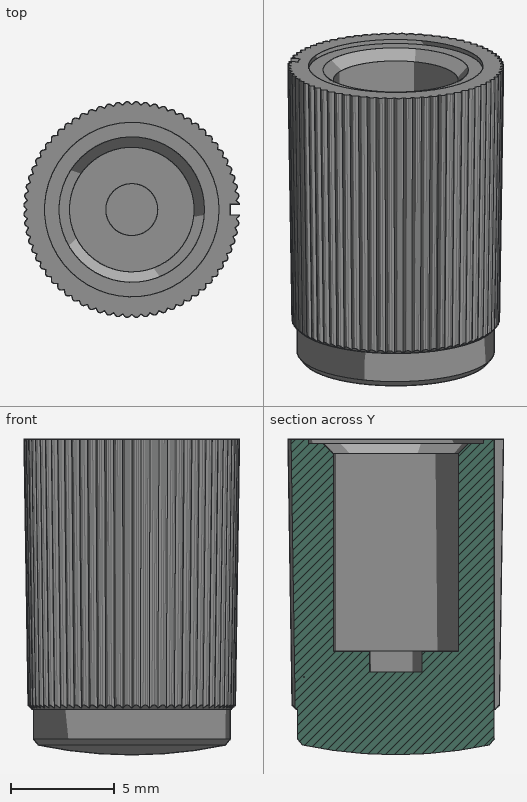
import cadquery as cq
import math

total_height = 15.2

grip_top_radius = 5.2
grip_bottom_radius = 5.0
grip_bottom_z = 2.2
grip_chamfer = 0.2
tooth_count = 72
tooth_depth = 0.15
crest_half_width = 0.1
crest_drop = 0.035

slot_width = 0.5
slot_floor_x = 4.75

neck_radius = 4.75
neck_chamfer_width = 0.25
neck_chamfer_height = 0.3
dome_radius = neck_radius - neck_chamfer_width
dome_height = 0.47

recess_diameter = 8.4
recess_depth = 0.2
bore_diameter = 6.0
bore_chamfer = 0.5
bore_depth = 10.0
pilot_diameter = 2.5
pilot_depth = 1.0


def polar(radius, angle):
    return (radius * math.cos(angle), radius * math.sin(angle))


def knurled_outline(workplane, radius):
    """Draw a ring of round-crested teeth with V grooves between them."""
    pitch = 2 * math.pi / tooth_count
    crest_curve_radius = (crest_half_width**2 + crest_drop**2) / (2 * crest_drop)
    mid_half_width = crest_half_width / 2
    mid_drop = crest_curve_radius - math.sqrt(crest_curve_radius**2 - mid_half_width**2)
    shoulder_angle = crest_half_width / radius
    mid_angle = mid_half_width / radius

    outline = workplane.moveTo(*polar(radius - tooth_depth, 0))
    for index in range(tooth_count):
        crest_angle = (index + 0.5) * pitch
        crest = polar(radius, crest_angle)
        first_shoulder = polar(radius - crest_drop, crest_angle - shoulder_angle)
        first_mid = polar(radius - mid_drop, crest_angle - mid_angle)
        second_mid = polar(radius - mid_drop, crest_angle + mid_angle)
        second_shoulder = polar(radius - crest_drop, crest_angle + shoulder_angle)
        outline = outline.lineTo(*first_shoulder)
        outline = outline.threePointArc(first_mid, crest)
        outline = outline.threePointArc(second_mid, second_shoulder)
        if index < tooth_count - 1:
            outline = outline.lineTo(*polar(radius - tooth_depth, crest_angle + pitch / 2))
    return outline.close()


def make_grip():
    """Tapered knurled sleeve with its lower edge chamfered."""
    grip_height = total_height - grip_bottom_z
    base = knurled_outline(cq.Workplane("XY").workplane(offset=grip_bottom_z), grip_bottom_radius)
    grip = knurled_outline(base.workplane(offset=grip_height), grip_top_radius).loft(ruled=True)

    envelope_radius = grip_top_radius + grip_chamfer
    chamfer_radius = grip_bottom_radius - grip_chamfer
    envelope = (
        cq.Workplane("XZ")
        .moveTo(0, grip_bottom_z)
        .lineTo(chamfer_radius, grip_bottom_z)
        .lineTo(envelope_radius, grip_bottom_z + envelope_radius - chamfer_radius)
        .lineTo(envelope_radius, total_height)
        .lineTo(0, total_height)
        .close()
        .revolve(360, (0, 0, 0), (0, 1, 0))
    )
    return grip.intersect(envelope)


def make_slot():
    """Cutter for the index slot, open at both ends of the grip."""
    slot_length = grip_top_radius - slot_floor_x
    slot_height = total_height - grip_bottom_z
    return cq.Workplane("XY").box(
        slot_length, slot_width, slot_height, centered=(False, True, False)
    ).translate((slot_floor_x, 0, grip_bottom_z))


def make_neck():
    """Plain neck with a chamfered edge and a shallow spherical end."""
    sphere_radius = (dome_radius**2 + dome_height**2) / (2 * dome_height)
    middle_radius = dome_radius / 2
    middle_z = sphere_radius - math.sqrt(sphere_radius**2 - middle_radius**2)
    neck_top_z = grip_bottom_z + grip_chamfer
    return (
        cq.Workplane("XZ")
        .moveTo(0, 0)
        .threePointArc((middle_radius, middle_z), (dome_radius, dome_height))
        .lineTo(neck_radius, dome_height + neck_chamfer_height)
        .lineTo(neck_radius, neck_top_z)
        .lineTo(0, neck_top_z)
        .close()
        .revolve(360, (0, 0, 0), (0, 1, 0))
    )


def make_bore():
    """Cutter for the shallow recess, chamfered bore and pilot hole."""
    recess_radius = recess_diameter / 2
    bore_radius = bore_diameter / 2
    pilot_radius = pilot_diameter / 2
    recess_z = total_height - recess_depth
    bore_floor_z = recess_z - bore_depth
    pilot_floor_z = bore_floor_z - pilot_depth
    return (
        cq.Workplane("XZ")
        .moveTo(0, total_height)
        .lineTo(recess_radius, total_height)
        .lineTo(recess_radius, recess_z)
        .lineTo(bore_radius + bore_chamfer, recess_z)
        .lineTo(bore_radius, recess_z - bore_chamfer)
        .lineTo(bore_radius, bore_floor_z)
        .lineTo(pilot_radius, bore_floor_z)
        .lineTo(pilot_radius, pilot_floor_z)
        .lineTo(0, pilot_floor_z)
        .close()
        .revolve(360, (0, 0, 0), (0, 1, 0))
    )


result = make_grip().cut(make_slot()).union(make_neck()).cut(make_bore())